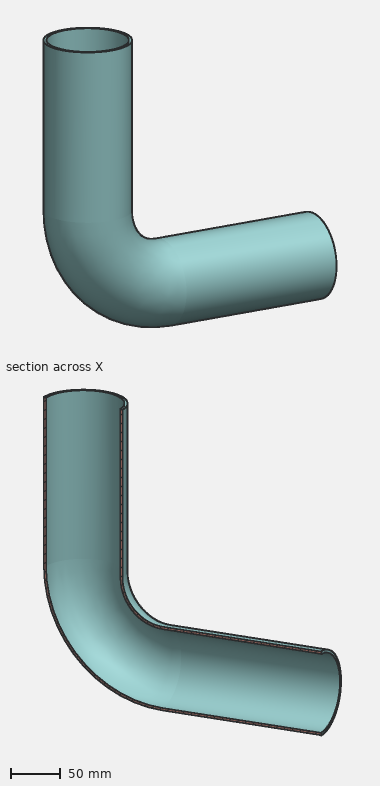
import cadquery as cq

overall_length = 311.0
outer_diameter = 89.0
inner_diameter = 82.8
bend_radius = outer_diameter

leg_length = overall_length - bend_radius - outer_diameter / 2


def ring(workplane):
    """Draw the pipe's annular cross-section on the workplane."""
    return workplane.circle(outer_diameter / 2).circle(inner_diameter / 2)


vertical_leg = ring(cq.Workplane("XY")).extrude(leg_length)

elbow = ring(cq.Workplane("XY")).revolve(90, (0, bend_radius, 0), (1, bend_radius, 0))

horizontal_start = cq.Plane(
    origin=(0, bend_radius, -bend_radius), xDir=(1, 0, 0), normal=(0, 1, 0)
)
horizontal_leg = ring(cq.Workplane(horizontal_start)).extrude(leg_length)

result = vertical_leg.union(elbow).union(horizontal_leg)